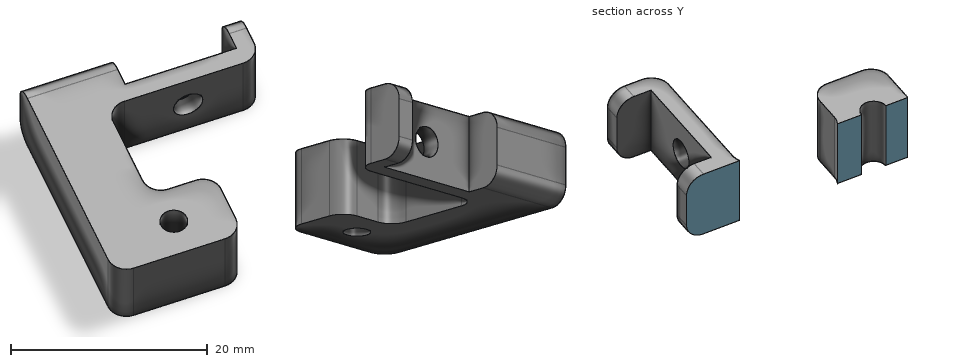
import cadquery as cq

length = 26.0
depth = 24.0
height = 8.0
corner_radius = 2.0

base_depth = 7.0
arm_outer_x = 6.0
block_left_x = 18.0
block_depth = 14.0

recess_floor_x = 4.0
recess_width = 12.2
recess_center_y = 16.0

block_hole_diameter = 2.8
block_hole_x = (block_left_x + length) / 2
block_hole_y = 8.0
arm_hole_diameter = 3.2


def make_body():
    """Extrude the plan outline and round its vertical corners."""
    outline = [
        (0, 0),
        (length, 0),
        (length, block_depth),
        (block_left_x, block_depth),
        (block_left_x, base_depth),
        (arm_outer_x, base_depth),
        (arm_outer_x, depth),
        (0, depth),
    ]
    body = cq.Workplane("XY").polyline(outline).close().extrude(height)
    return body.edges("|Z").edges("not(<X)").fillet(corner_radius)


def round_left_end(body):
    """Round the top and bottom edges of the left face."""
    return body.faces("<X").edges("|Y").fillet(corner_radius)


def make_recess():
    """Full-height block that leaves a lip at the back end of the arm."""
    return (
        cq.Workplane("XY")
        .center(recess_floor_x / 2, recess_center_y)
        .rect(recess_floor_x, recess_width)
        .extrude(height)
    )


def make_block_hole():
    """Vertical through hole in the right block."""
    return (
        cq.Workplane("XY")
        .center(block_hole_x, block_hole_y)
        .circle(block_hole_diameter / 2)
        .extrude(height)
    )


def make_arm_hole():
    """Hole along X through the thin arm wall, centered in the recess."""
    return (
        cq.Workplane("YZ")
        .center(recess_center_y, height / 2)
        .circle(arm_hole_diameter / 2)
        .extrude(arm_outer_x)
    )


body = round_left_end(make_body())
result = body.cut(make_recess()).cut(make_block_hole()).cut(make_arm_hole())